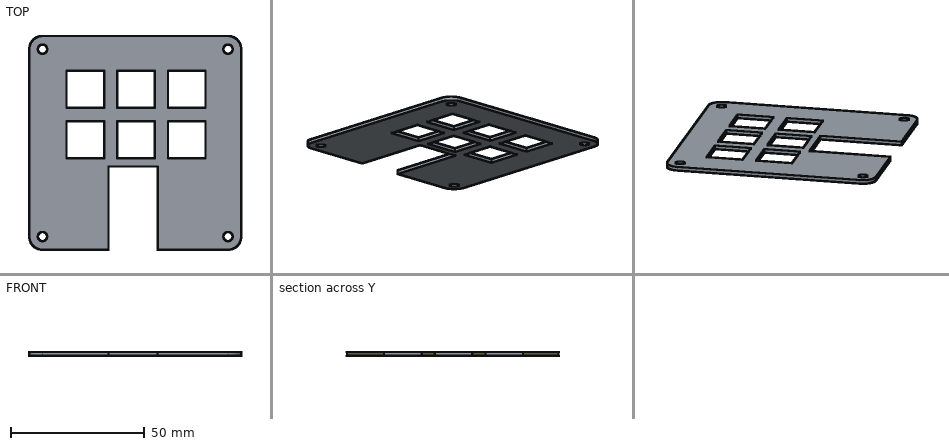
import cadquery as cq

plate_width = 79.6
plate_depth = 80.3
plate_thickness = 1.5
corner_radius = 5.0

mount_hole_diameter = 3.4

window_width = 14.0
window_depth = 13.8
window_pitch = 19.0
window_columns = 3
window_rows = 2
window_grid_x = 0.3
top_row_inset = 20.0

notch_width = 18.4
notch_depth = 31.2
notch_center_x = -0.8

front_edge_y = -plate_depth / 2
back_edge_y = plate_depth / 2
window_grid_y = back_edge_y - top_row_inset - (window_rows - 1) * window_pitch / 2


def make_plate():
    """Flat plate with rounded vertical corners."""
    plate = cq.Workplane("XY").box(
        plate_width, plate_depth, plate_thickness, centered=(True, True, False)
    )
    return plate.edges("|Z").fillet(corner_radius)


def make_mount_holes():
    """Four through-hole cylinders on the corner arc centres."""
    spacing_x = plate_width - 2 * corner_radius
    spacing_y = plate_depth - 2 * corner_radius
    return (
        cq.Workplane("XY")
        .rarray(spacing_x, spacing_y, 2, 2)
        .circle(mount_hole_diameter / 2)
        .extrude(plate_thickness)
    )


def make_windows():
    """Grid of rectangular through-cuts for the keys."""
    return (
        cq.Workplane("XY")
        .center(window_grid_x, window_grid_y)
        .rarray(window_pitch, window_pitch, window_columns, window_rows)
        .rect(window_width, window_depth)
        .extrude(plate_thickness)
    )


def make_notch():
    """Rectangular through-cut reaching in from the front edge."""
    return (
        cq.Workplane("XY")
        .center(notch_center_x, front_edge_y + notch_depth / 2)
        .rect(notch_width, notch_depth)
        .extrude(plate_thickness)
    )


result = make_plate().cut(make_mount_holes()).cut(make_windows()).cut(make_notch())